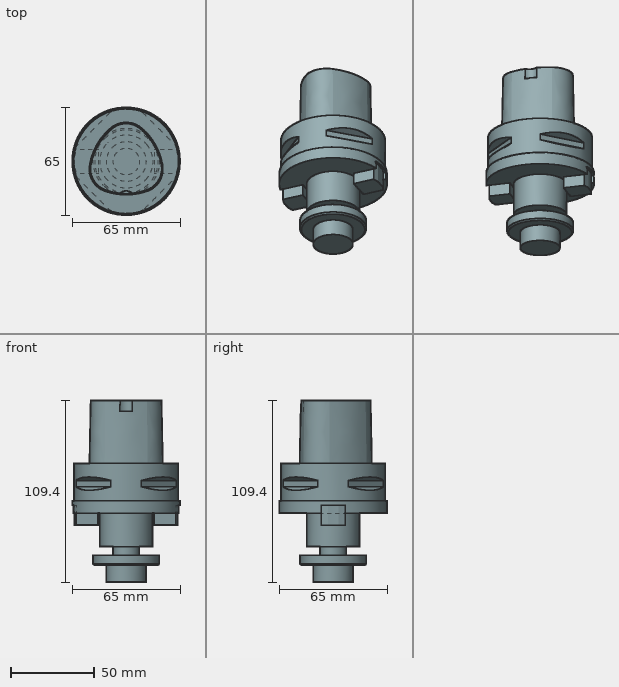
import cadquery as cq
import math

total_height = 109.4
flange_top = 71.4
rim_top = 48.9
rim_bottom = 41.5
pilot_bottom = 21.3
washer_top = 16.2
washer_bottom = 10.1

flange_diameter = 63.0
rim_diameter = 65.0
pilot_diameter = 31.9
shank_diameter = 16.0
washer_diameter = 40.0
head_diameter = 24.0
washer_chamfer = 1.0

lobe_reach = 23.4
side_reach = 20.2
lobe_radius = 14.2
lobe_count = 3
shank_inset = 0.8

notch_radius = 5.3
notch_depth_z = 6.5
notch_inner_y = -17.8

groove_count = 4
groove_floor_distance = 27.8
groove_middle = 59.3
groove_floor_height = 3.7
groove_wall_angle = 30.0

key_width = 14.3
key_bottom = 34.4
key_top = 46.3
key_inner = 16.8
key_outer = 31.2
key_nose_width = 6.2
key_bevel_depth = 1.2


def polar(radius, angle):
    """Point at a distance from the axis, with the angle in degrees."""
    turn = math.radians(angle)
    return (radius * math.cos(turn), radius * math.sin(turn))


def cylinder(diameter, bottom, top):
    return cq.Workplane("XY").workplane(offset=bottom).circle(diameter / 2).extrude(top - bottom)


def round_body():
    washer = cylinder(washer_diameter, washer_bottom, washer_top).faces("<Z").chamfer(washer_chamfer)
    return (
        cylinder(head_diameter, 0, washer_bottom)
        .union(washer)
        .union(cylinder(shank_diameter, washer_top, pilot_bottom))
        .union(cylinder(pilot_diameter, pilot_bottom, rim_bottom))
        .union(cylinder(rim_diameter, rim_bottom, rim_top))
        .union(cylinder(flange_diameter, rim_top, flange_top))
    )


def lobed_shank():
    """Six tangent arcs, alternating tight lobes and shallow sides, tapering upward."""
    lobe_offset = lobe_reach - lobe_radius
    side_radius = (side_reach**2 + lobe_offset**2 - lobe_offset * side_reach - lobe_radius**2) / (
        2 * side_reach - 2 * lobe_radius - lobe_offset
    )
    side_offset = side_radius - side_reach
    half_side = math.degrees(
        math.atan2(
            lobe_offset * math.sin(math.pi / lobe_count),
            side_offset + lobe_offset * math.cos(math.pi / lobe_count),
        )
    )
    pitch = 360 / lobe_count

    def joint(side_angle, swing):
        center_x, center_y = polar(-side_offset, side_angle)
        reach_x, reach_y = polar(side_radius, side_angle + swing)
        return (center_x + reach_x, center_y + reach_y)

    first_side = -90
    outline = cq.Workplane("XY").workplane(offset=flange_top).moveTo(*joint(first_side, -half_side))
    for i in range(lobe_count):
        side = first_side + i * pitch
        outline = outline.threePointArc(polar(side_reach, side), joint(side, half_side))
        outline = outline.threePointArc(
            polar(lobe_reach, side + pitch / 2), joint(side + pitch, -half_side)
        )
    height = total_height - flange_top
    taper = math.degrees(math.atan2(shank_inset, height))
    return outline.close().extrude(height, taper=taper)


def shank_notch():
    notch = cylinder(2 * notch_radius, total_height - notch_depth_z, total_height)
    return notch.translate((0, notch_inner_y - notch_radius, 0))


def gripper_groove(angle):
    cut_end = rim_diameter / 2
    depth = cut_end - groove_floor_distance
    half_floor = groove_floor_height / 2
    half_mouth = half_floor + depth * math.tan(math.radians(groove_wall_angle))
    profile = [
        (groove_floor_distance, groove_middle - half_floor),
        (cut_end, groove_middle - half_mouth),
        (cut_end, groove_middle + half_mouth),
        (groove_floor_distance, groove_middle + half_floor),
    ]
    groove = cq.Workplane("XZ").polyline(profile).close().extrude(flange_diameter / 2, both=True)
    return groove.rotate((0, 0, 0), (0, 0, 1), angle)


def key_slot(angle):
    """Slot through the rim that the key sits in."""
    length = rim_diameter / 2 - key_inner
    slot = (
        cq.Workplane("XY")
        .box(length, key_width, key_top - rim_bottom, centered=(False, True, False))
        .translate((key_inner, 0, rim_bottom))
    )
    return slot.rotate((0, 0, 0), (0, 0, 1), angle)


def drive_key(angle):
    """Rectangular key with a bevelled outer end."""
    bevel_start = key_outer - key_bevel_depth
    key = (
        cq.Workplane("XY")
        .workplane(offset=key_bottom)
        .polyline(
            [
                (key_inner, -key_width / 2),
                (bevel_start, -key_width / 2),
                (key_outer, -key_nose_width / 2),
                (key_outer, key_nose_width / 2),
                (bevel_start, key_width / 2),
                (key_inner, key_width / 2),
            ]
        )
        .close()
        .extrude(key_top - key_bottom)
    )
    return key.rotate((0, 0, 0), (0, 0, 1), angle)


result = round_body().union(lobed_shank()).cut(shank_notch())

groove_pitch = 360 / groove_count
for i in range(groove_count):
    result = result.cut(gripper_groove((i + 0.5) * groove_pitch))

for key_angle in (0, 180):
    result = result.cut(key_slot(key_angle)).union(drive_key(key_angle))